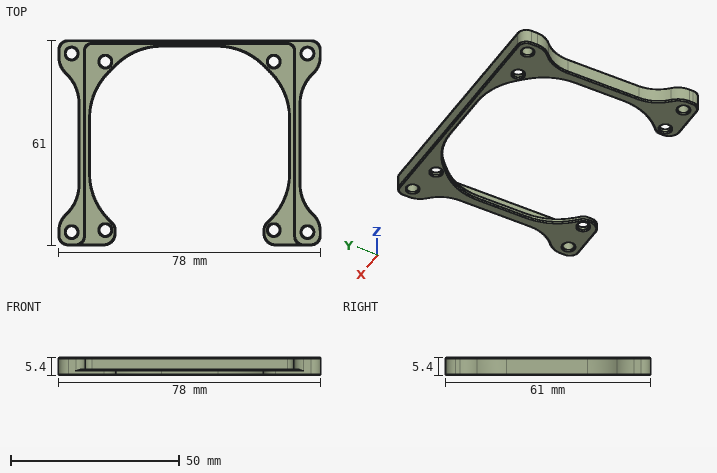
import cadquery as cq
import math

WIDTH = 78.0
DEPTH = 61.0
HEIGHT = 5.4
FLOOR = 1.8
CHAMFER = 0.4

HALF_WIDTH = WIDTH / 2
BACK = DEPTH / 2
FRONT = -DEPTH / 2

HOLE_DIAMETER = 3.4
LOBE_HOLE_INSET = 4.0
FLOOR_HOLE_SPACING = 50.0
FLOOR_HOLE_X = FLOOR_HOLE_SPACING / 2
FLOOR_CENTER_Y = BACK - 31.4
FLOOR_HOLE_BACK_Y = FLOOR_CENTER_Y + FLOOR_HOLE_SPACING / 2
FLOOR_HOLE_FRONT_Y = FLOOR_CENTER_Y - FLOOR_HOLE_SPACING / 2

CORNER_RADIUS = 3.0
WAIST_X = 33.0
WAIST_STEP = HALF_WIDTH - WAIST_X
BACK_FLANK_INSET = 5.0
FRONT_FLANK_INSET = 4.3
FLANK_LENGTH = 13.8
LOBE_RADIUS = 6.9
FLANK_RADIUS_SUM = (WAIST_STEP**2 + FLANK_LENGTH**2) / (2 * WAIST_STEP)
WAIST_RADIUS = FLANK_RADIUS_SUM - LOBE_RADIUS

OPENING_X = 29.5
OPENING_BACK_Y = BACK - 2.0
OPENING_RADIUS = 19.0
FLANK_OFFSET = 3.1
TAB_X = FLOOR_HOLE_X - FLANK_OFFSET
TAB_CORNER_RADIUS = 3.6

RECESS_X = 31.0
RECESS_BACK_Y = BACK - 1.2
RECESS_RADIUS = 2.0
WALL_END_RADIUS = 2.8

MERGE_DISTANCE = 1e-6


def rounded_profile(corners):
    """Closed profile through (x, y, radius) corners, each rounded by a tangent arc."""
    stretches = []
    for i, (x, y, radius) in enumerate(corners):
        corner = cq.Vector(x, y)
        to_previous = (cq.Vector(*corners[i - 1][:2]) - corner).normalized()
        to_next = (cq.Vector(*corners[(i + 1) % len(corners)][:2]) - corner).normalized()
        half_angle = to_previous.getAngle(to_next) / 2
        setback = radius / math.tan(half_angle)
        apex_distance = radius / math.sin(half_angle) - radius
        bisector = (to_previous + to_next).normalized()
        start = corner + to_previous * setback
        middle = corner + bisector * apex_distance
        end = corner + to_next * setback
        stretches.append((start, middle, end))

    profile = cq.Workplane("XY").moveTo(*stretches[0][0].toTuple()[:2])
    previous_end = stretches[0][0]
    for start, middle, end in stretches:
        if (start - previous_end).Length > MERGE_DISTANCE:
            profile = profile.lineTo(start.x, start.y)
        profile = profile.threePointArc((middle.x, middle.y), (end.x, end.y))
        previous_end = end
    return profile.close()


def mirrored(right_side):
    """Corner list for a shape symmetric about the YZ plane, from its +X half."""
    left_side = [(-x, y, radius) for x, y, radius in reversed(right_side)]
    return right_side + left_side


setback_ratio = WAIST_STEP / FLANK_LENGTH
lobe_setback = LOBE_RADIUS * setback_ratio
waist_setback = WAIST_RADIUS * setback_ratio
back_flank_y = BACK - BACK_FLANK_INSET
front_flank_y = FRONT + FRONT_FLANK_INSET
outer_side = [
    (HALF_WIDTH, BACK, CORNER_RADIUS),
    (HALF_WIDTH, back_flank_y - lobe_setback, LOBE_RADIUS),
    (WAIST_X, back_flank_y - FLANK_LENGTH + waist_setback, WAIST_RADIUS),
    (WAIST_X, front_flank_y + FLANK_LENGTH - waist_setback, WAIST_RADIUS),
    (HALF_WIDTH, front_flank_y + lobe_setback, LOBE_RADIUS),
    (HALF_WIDTH, FRONT, CORNER_RADIUS),
]

flank_shift = FLANK_OFFSET * math.sqrt(2)
back_flank_sum = FLOOR_HOLE_X + FLOOR_HOLE_BACK_Y - flank_shift
front_flank_sum = FLOOR_HOLE_X - FLOOR_HOLE_FRONT_Y - flank_shift
opening_side = [
    (back_flank_sum - OPENING_BACK_Y, OPENING_BACK_Y, OPENING_RADIUS),
    (OPENING_X, back_flank_sum - OPENING_X, OPENING_RADIUS),
    (OPENING_X, OPENING_X - front_flank_sum, OPENING_RADIUS),
    (TAB_X, TAB_X - front_flank_sum, FLANK_OFFSET),
    (TAB_X, FRONT, TAB_CORNER_RADIUS),
]
recess_side = [
    (RECESS_X, RECESS_BACK_Y, RECESS_RADIUS),
    (RECESS_X, FRONT, WALL_END_RADIUS),
]


def make_floor():
    """Thin U-shaped floor, chamfered along both faces."""
    corners = mirrored(outer_side + opening_side[::-1])
    floor = rounded_profile(corners).extrude(FLOOR)
    return floor.faces("<Z or >Z").chamfer(CHAMFER)


def make_wall():
    """Tall U-shaped wall with corner lobes, chamfered along its top."""
    corners = mirrored(outer_side + recess_side[::-1])
    base_z = FLOOR / 2
    wall = rounded_profile(corners).extrude(HEIGHT - base_z)
    return wall.faces(">Z").chamfer(CHAMFER).translate((0, 0, base_z))


def drill(body, x, y, top):
    """Through hole at (x, y), countersunk at the bottom face and at height top."""
    hole_radius = HOLE_DIAMETER / 2
    mouth_radius = hole_radius + CHAMFER
    section = [
        (0, 0),
        (mouth_radius, 0),
        (hole_radius, CHAMFER),
        (hole_radius, top - CHAMFER),
        (mouth_radius, top),
        (0, top),
    ]
    cutter = cq.Workplane("XZ").polyline(section).close().revolve(360, (0, 0), (0, 1))
    return body.cut(cutter.translate((x, y, 0)))


result = make_floor().union(make_wall())

lobe_hole_x = HALF_WIDTH - LOBE_HOLE_INSET
for side in (-1, 1):
    for hole_y in (BACK - LOBE_HOLE_INSET, FRONT + LOBE_HOLE_INSET):
        result = drill(result, side * lobe_hole_x, hole_y, HEIGHT)
    for hole_y in (FLOOR_HOLE_BACK_Y, FLOOR_HOLE_FRONT_Y):
        result = drill(result, side * FLOOR_HOLE_X, hole_y, FLOOR)